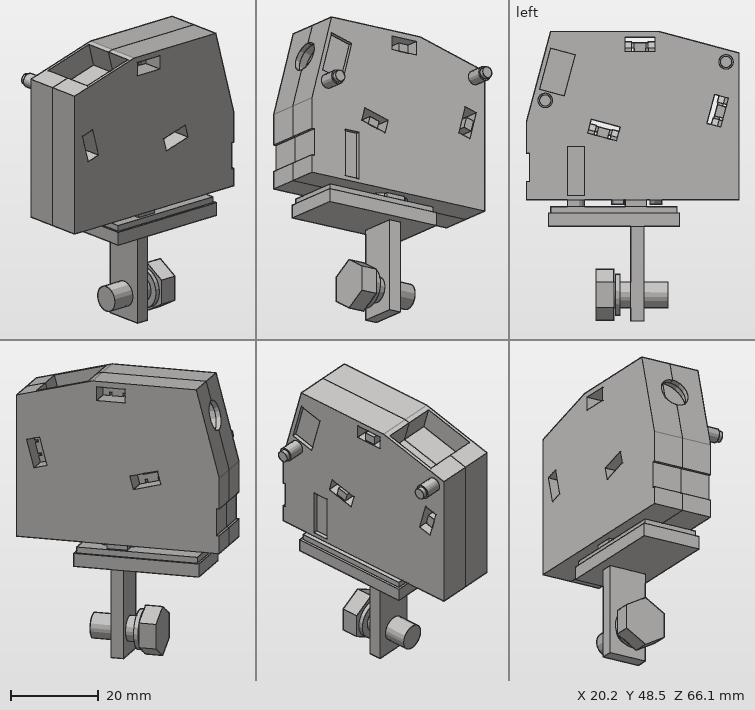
import cadquery as cq
import math


half_width = 7.55
housing_depth = 48.5
housing_height = 38.4
slope_angle = 15.0
top_front_y = 18.2
top_back_y = 43.0
notch_bottom = 4.2
notch_top = 10.6
notch_depth = 0.65

recess_width = 13.5
recess_length = 12.8
recess_rim = 1.25
recess_depth = 5.55

hole_diameter = 7.0
hole_y = 45.15
bore_diameter = 10.6
bore_start = 1.2
bore_end = 3.95

pocket_depth = 1.0
label_length = 9.7
label_width = 5.8
label_center = (41.45, 29.15)
slot_length = 11.2
slot_bottom = 1.0

pin_diameter = 3.3
pin_length = 4.0
pin_tip_diameter = 2.6
pin_tip_length = 1.05
pin_centers = [(3.0, 31.45), (44.2, 22.7)]

window_width = 6.8
window_height = 3.25
window_places = [
    ((22.6, 33.85), 0.0),
    ((31.25, 14.35), slope_angle),
    ((3.3, 19.9), slope_angle - 90.0),
]
tongue_width = 2.65
tongue_height = 2.05
tongue_setback = 0.3
catch_width = 1.5
catch_height = 2.25
catch_step = 0.8
catch_depth = 2.65
bridge_thickness = 1.3

boss_diameter = 11.5
boss_height = 1.05
boss_y = 23.35
boss_slot = 5.95

base_x = -0.165
base_y = 28.55
base_gap = 1.6
upper_plate = (13.55, 28.9, 1.4)
lower_plate = (14.75, 29.95, 3.1)
neck_width = 11.25
neck_depth = 4.9
neck_x = 0.1
neck_y = 23.5
peg_diameter = 3.9
peg_y = 37.2
bar_width = 9.45
bar_thickness = 3.05
bar_y = 23.2
bar_bottom = housing_height - 66.1

bolt_x = 0.1
bolt_z = -21.7
shank_diameter = 5.95
bolt_end_y = 16.2
head_y = 28.55
head_height = 4.1
head_across_flats = 10.1
washer_diameter = 9.4
washer_thickness = 1.05
washer_gap = 0.3

slope_sine = math.sin(math.radians(slope_angle))
slope_cosine = math.cos(math.radians(slope_angle))
slope_tangent = slope_sine / slope_cosine


def side_sketch(x):
    """Workplane facing +X at the given X, with local axes along Y and Z."""
    return cq.Workplane("YZ", origin=(x, 0, 0))


def box_above(size_x, size_y, size_z, x, y, z):
    """Box centred on (x, y) with its underside at z."""
    return cq.Workplane("XY", origin=(x, y, z)).box(size_x, size_y, size_z, centered=(True, True, False))


def bar_along_y(diameter, y_start, y_end):
    """Round bar on the bolt axis, between two Y positions."""
    plane = cq.Plane(origin=(bolt_x, y_start, bolt_z), xDir=(1, 0, 0), normal=(0, 1, 0))
    return cq.Workplane(plane).circle(diameter / 2).extrude(y_end - y_start)


def housing_block(x_start):
    """Outline of the housing, extruded over the width of one half."""
    front_height = housing_height - top_front_y * slope_tangent
    back_height = housing_height - (housing_depth - top_back_y) / slope_tangent
    outline = [
        (0, 0),
        (0, front_height),
        (top_front_y, housing_height),
        (top_back_y, housing_height),
        (housing_depth, back_height),
        (housing_depth, notch_top),
        (housing_depth - notch_depth, notch_top),
        (housing_depth - notch_depth, notch_bottom),
        (housing_depth, notch_bottom),
        (housing_depth, 0),
    ]
    return side_sketch(x_start).polyline(outline).close().extrude(half_width)


def slope_recess():
    """Rectangular recess, square to the front slope and open through it."""
    plane = cq.Plane(
        origin=(0, top_front_y, housing_height),
        xDir=(1, 0, 0),
        normal=(0, -slope_sine, slope_cosine),
    )
    middle = -recess_rim - recess_length / 2
    return cq.Workplane(plane).center(0, middle).rect(recess_width, recess_length).extrude(-recess_depth)


def slope_hole():
    """Round hole square to the back slope, opening into a wider blind bore behind it."""
    hole_z = housing_height - (hole_y - top_back_y) / slope_tangent
    plane = cq.Plane(
        origin=(0, hole_y, hole_z),
        xDir=(1, 0, 0),
        normal=(0, -slope_cosine, -slope_sine),
    )
    mouth = cq.Workplane(plane).circle(hole_diameter / 2).extrude(bore_start)
    bore = cq.Workplane(plane).workplane(offset=bore_start).circle(bore_diameter / 2)
    return mouth.union(bore.extrude(bore_end - bore_start))


def split_boss():
    """Round boss with a wide slot along X across it."""
    boss = cq.Workplane("XY", origin=(0, boss_y, 0)).circle(boss_diameter / 2).extrude(-boss_height)
    slot = box_above(boss_diameter, boss_slot, boss_height, 0, boss_y, -boss_height)
    return boss.cut(slot)


def side_pockets():
    """Tilted label pocket, and an upright pocket in line with the peg, in the -X face."""
    face = side_sketch(-half_width)
    label = (
        face.center(*label_center)
        .transformed(rotate=(0, 0, slope_angle))
        .rect(label_width, label_length)
        .extrude(pocket_depth)
    )
    slot = face.center(peg_y, slot_bottom + slot_length / 2).rect(peg_diameter, slot_length)
    return label.union(slot.extrude(pocket_depth))


def locating_pins():
    """Stepped pins standing on the -X face."""
    pins = side_sketch(-half_width).pushPoints(pin_centers).circle(pin_diameter / 2).extrude(-pin_length)
    tips = (
        side_sketch(-half_width - pin_length)
        .pushPoints(pin_centers)
        .circle(pin_tip_diameter / 2)
        .extrude(-pin_tip_length)
    )
    return pins.union(tips)


def at_window(shape, place):
    """Move a shape built at the origin to one of the windows."""
    (y, z), angle = place
    return shape.rotate((0, 0, 0), (1, 0, 0), angle).translate((0, y, z))


def window_opening():
    """Opening through both halves, its lower edge centred on the X axis."""
    return box_above(2 * half_width, window_width, window_height, 0, 0, 0)


def window_clip():
    """Tongue, two sloped catches and the bridge that joins them, across a window."""
    tongue_start = -half_width + tongue_setback
    tongue_length = catch_depth - tongue_start
    tongue = box_above(tongue_length, tongue_width, tongue_height, tongue_start + tongue_length / 2, 0, 0)
    bridge = box_above(
        bridge_thickness,
        window_width,
        tongue_height - catch_step,
        catch_depth - bridge_thickness / 2,
        0,
        catch_step,
    )
    rise = catch_height - catch_step
    catch_profile = [
        (0, 0),
        (0, catch_step),
        (rise, catch_height),
        (catch_depth, catch_height),
        (catch_depth, 0),
    ]
    clip = tongue.union(bridge)
    for end_y in (window_width / 2, -window_width / 2 + catch_width):
        plane = cq.Workplane("XZ", origin=(0, end_y, 0))
        clip = clip.union(plane.polyline(catch_profile).close().extrude(catch_width))
    return clip


def housing_half(x_start):
    """One half of the housing, from x_start to x_start + half_width."""
    half = housing_block(x_start).cut(slope_recess()).cut(slope_hole())
    for place in window_places:
        half = half.cut(at_window(window_opening(), place))
    return half


def left_housing():
    """Half on the -X side, with the side pockets and the locating pins."""
    return housing_half(-half_width).cut(side_pockets()).union(locating_pins())


def right_housing():
    """Half on the +X side, with the snap clips of the windows and the split boss."""
    half = housing_half(0).union(split_boss())
    for place in window_places:
        half = half.union(at_window(window_clip(), place))
    return half


def base():
    """Stepped plate with a neck and a peg up to the housing and the terminal bar below."""
    upper_bottom = -base_gap - upper_plate[2]
    lower_bottom = upper_bottom - lower_plate[2]
    body = box_above(*upper_plate, base_x, base_y, upper_bottom)
    body = body.union(box_above(*lower_plate, base_x, base_y, lower_bottom))
    body = body.union(box_above(neck_width, neck_depth, base_gap, neck_x, neck_y, -base_gap))
    peg = cq.Workplane("XY", origin=(base_x, peg_y, -base_gap)).circle(peg_diameter / 2).extrude(base_gap)
    bar = box_above(bar_width, bar_thickness, lower_bottom - bar_bottom, 0, bar_y, bar_bottom)
    bolt_hole = bar_along_y(shank_diameter, bolt_end_y, head_y)
    return body.union(peg).union(bar.cut(bolt_hole))


def bolt():
    """Hexagon bolt with its corners up and down."""
    plane = cq.Plane(origin=(bolt_x, head_y, bolt_z), xDir=(0, 0, 1), normal=(0, 1, 0))
    corner_diameter = head_across_flats / math.cos(math.pi / 6)
    head = cq.Workplane(plane).polygon(6, corner_diameter).extrude(head_height)
    return head.union(bar_along_y(shank_diameter, bolt_end_y, head_y))


def washer():
    """Flat washer on the shank, a small gap away from the head."""
    back_y = head_y - washer_gap
    front_y = back_y - washer_thickness
    return bar_along_y(washer_diameter, front_y, back_y).cut(bar_along_y(shank_diameter, front_y, back_y))


result = cq.Compound.makeCompound(
    [left_housing().val(), right_housing().val(), base().val(), bolt().val(), washer().val()]
)